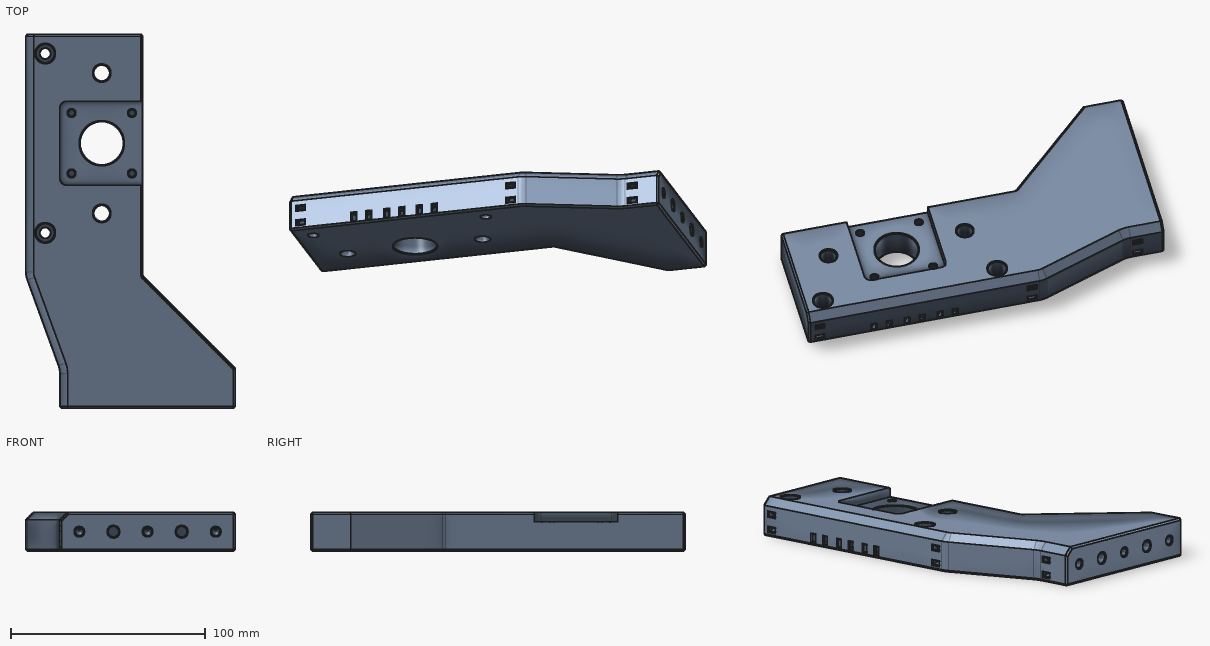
import cadquery as cq
import math

LENGTH = 192.0
THICKNESS = 20.0
ARM_WIDTH = 60.0
FOOT_LEFT = 17.5
FOOT_RIGHT = 107.5
BEND_Y = 68.0
LEFT_FOOT_Y = 20.0
RIGHT_FOOT_Y = BEND_Y - (FOOT_RIGHT - ARM_WIDTH)
LEFT_BEND_RADIUS = 12.0
RIGHT_BEND_RADIUS = 2.0
LEFT_TOP_CHAMFER = 4.0
EDGE_CHAMFER = 1.0

MOTOR_X = 39.0
MOTOR_Y = 136.0
MOTOR_POCKET_SIZE = 43.0
MOTOR_POCKET_DEPTH = 5.0
MOTOR_POCKET_RADIUS = 3.5
MOTOR_BORE_DIAMETER = 22.2
MOTOR_BORE_CHAMFER = 0.5
MOTOR_SCREW_SPACING = 31.0
MOTOR_SCREW_DIAMETER = 3.4
MOTOR_SCREW_DEPTH = 10.0
MOTOR_SCREW_CHAMFER = 0.5

SIDE_HOLE_DIAMETER = 8.2
SIDE_HOLE_OFFSET = 36.0
SIDE_HOLE_CHAMFER = 0.6

MOUNT_X = 10.0
MOUNT_YS = (90.0, 182.0)
MOUNT_DIAMETER = 5.5
MOUNT_HEAD_DIAMETER = 9.5
MOUNT_HEAD_DEPTH = 10.0
MOUNT_CHAMFER = 0.5

FOOT_HOLE_PITCH = 17.5
FOOT_HOLE_CENTRE_X = (FOOT_LEFT + FOOT_RIGHT) / 2
FOOT_HOLE_Z = THICKNESS / 2
FOOT_THREAD_DIAMETER = 4.2
FOOT_THREAD_DEPTH = 15.0
FOOT_THREAD_CHAMFER = 0.6
FOOT_PLAIN_DIAMETER = 5.5
FOOT_PLAIN_DEPTH = 15.0
FOOT_PLAIN_CHAMFER = 0.5
DRILL_POINT_ANGLE = 118.0

TIE_MEAN_RADIUS = 4.0
TIE_SLOT_HEIGHT = 2.0
TIE_SLOT_WIDTH = 4.0
TIE_MOUTH_CHAMFER = 0.6
TIE_UPRIGHT_Z = 7.75
TIE_FLAT_Z = TIE_UPRIGHT_Z - TIE_MEAN_RADIUS
TIE_FLAT_PITCH = 17.5
UPRIGHT_TIES = ((0, 186.0), (0, 74.0), (FOOT_LEFT, 14.0))

OVERSHOOT = 1.0
SELECT_MARGIN = 1.0


def edge_at(x, y):
    """Selector for the vertical edge at (x, y)."""
    return cq.selectors.BoxSelector(
        (x - SELECT_MARGIN, y - SELECT_MARGIN, 0),
        (x + SELECT_MARGIN, y + SELECT_MARGIN, THICKNESS),
    )


def top_edges_between(x_min, x_max):
    """Selector for top edges within an X range, without the two end edges."""
    return cq.selectors.BoxSelector(
        (x_min - SELECT_MARGIN, SELECT_MARGIN, THICKNESS - SELECT_MARGIN),
        (x_max + SELECT_MARGIN, LENGTH - SELECT_MARGIN, THICKNESS + SELECT_MARGIN),
    )


def plate():
    left_bend = (0, BEND_Y)
    left_foot = (FOOT_LEFT, LEFT_FOOT_Y)
    right_bend = (ARM_WIDTH, BEND_Y)
    outline = [
        (FOOT_LEFT, 0), (FOOT_RIGHT, 0), (FOOT_RIGHT, RIGHT_FOOT_Y), right_bend,
        (ARM_WIDTH, LENGTH), (0, LENGTH), left_bend, left_foot,
    ]
    body = cq.Workplane("XY").polyline(outline).close().extrude(THICKNESS)
    body = body.edges(edge_at(*left_bend)).fillet(LEFT_BEND_RADIUS)
    body = body.edges(edge_at(*left_foot)).fillet(LEFT_BEND_RADIUS)
    body = body.edges(edge_at(*right_bend)).fillet(RIGHT_BEND_RADIUS)
    body = body.edges(top_edges_between(0, FOOT_LEFT)).chamfer(LEFT_TOP_CHAMFER)
    right_top = body.edges(top_edges_between(ARM_WIDTH, FOOT_RIGHT))
    chamfered = body.faces("<Y or >Y or <Z").edges().add(right_top)
    return chamfered.chamfer(EDGE_CHAMFER)


def hole_cutter(diameter, depth, chamfer=0.0, pointed=False):
    """Hole going down from z = 0, with an optional mouth chamfer and drill point."""
    radius = diameter / 2
    profile = cq.Workplane("XZ").moveTo(0, OVERSHOOT)
    profile = profile.lineTo(radius + chamfer, OVERSHOOT).lineTo(radius + chamfer, 0)
    if chamfer:
        profile = profile.lineTo(radius, -chamfer)
    profile = profile.lineTo(radius, -depth)
    tip = radius / math.tan(math.radians(DRILL_POINT_ANGLE / 2)) if pointed else 0
    profile = profile.lineTo(0, -depth - tip).close()
    return profile.revolve(360, (0, 0, 0), (0, 1, 0))


def cut_motor_seat(body):
    floor_z = THICKNESS - MOTOR_POCKET_DEPTH
    half_size = MOTOR_POCKET_SIZE / 2
    open_length = ARM_WIDTH + OVERSHOOT - (MOTOR_X - half_size)
    pocket = (
        cq.Workplane("XY", origin=(MOTOR_X - half_size, MOTOR_Y, floor_z))
        .box(open_length, MOTOR_POCKET_SIZE, MOTOR_POCKET_DEPTH + OVERSHOOT, centered=(False, True, False))
        .edges("|Z and <X").fillet(MOTOR_POCKET_RADIUS)
    )
    bore = hole_cutter(MOTOR_BORE_DIAMETER, THICKNESS / 2, MOTOR_BORE_CHAMFER)
    body = body.cut(pocket).cut(bore.translate((MOTOR_X, MOTOR_Y, floor_z)))
    underside_bore = bore.rotate((0, 0, 0), (1, 0, 0), 180)
    body = body.cut(underside_bore.translate((MOTOR_X, MOTOR_Y, 0)))
    screw = hole_cutter(MOTOR_SCREW_DIAMETER, MOTOR_SCREW_DEPTH, MOTOR_SCREW_CHAMFER)
    half_spacing = MOTOR_SCREW_SPACING / 2
    for dx in (-half_spacing, half_spacing):
        for dy in (-half_spacing, half_spacing):
            body = body.cut(screw.translate((MOTOR_X + dx, MOTOR_Y + dy, floor_z)))
    return body


def cut_side_holes(body):
    hole = hole_cutter(SIDE_HOLE_DIAMETER, THICKNESS + OVERSHOOT, SIDE_HOLE_CHAMFER)
    for dy in (-SIDE_HOLE_OFFSET, SIDE_HOLE_OFFSET):
        body = body.cut(hole.translate((MOTOR_X, MOTOR_Y + dy, THICKNESS)))
    return body


def cut_mounting_holes(body):
    through = hole_cutter(MOUNT_DIAMETER, THICKNESS + OVERSHOOT)
    head = hole_cutter(MOUNT_HEAD_DIAMETER, MOUNT_HEAD_DEPTH, MOUNT_CHAMFER)
    cutter = through.union(head)
    for y in MOUNT_YS:
        body = body.cut(cutter.translate((MOUNT_X, y, THICKNESS)))
    return body


def cut_foot_holes(body):
    thread = hole_cutter(FOOT_THREAD_DIAMETER, FOOT_THREAD_DEPTH, FOOT_THREAD_CHAMFER, pointed=True)
    plain = hole_cutter(FOOT_PLAIN_DIAMETER, FOOT_PLAIN_DEPTH, FOOT_PLAIN_CHAMFER)
    for step in range(-2, 3):
        cutter = thread if step % 2 == 0 else plain
        into_foot = cutter.rotate((0, 0, 0), (1, 0, 0), 90)
        x = FOOT_HOLE_CENTRE_X + step * FOOT_HOLE_PITCH
        body = body.cut(into_foot.translate((x, 0, FOOT_HOLE_Z)))
    return body


def tie_loop_cutter():
    """Flat ring round the Z axis, with a chamfered mouth where it meets the plane x = 0."""
    ring = (
        cq.Workplane("XY", origin=(0, 0, -TIE_SLOT_WIDTH / 2))
        .circle(TIE_MEAN_RADIUS + TIE_SLOT_HEIGHT / 2)
        .circle(TIE_MEAN_RADIUS - TIE_SLOT_HEIGHT / 2)
        .extrude(TIE_SLOT_WIDTH)
    )
    mouth_height = TIE_SLOT_HEIGHT + 2 * TIE_MOUTH_CHAMFER
    mouth_width = TIE_SLOT_WIDTH + 2 * TIE_MOUTH_CHAMFER
    mouth = (
        cq.Workplane("YZ").rect(mouth_height, mouth_width)
        .workplane(offset=TIE_MOUTH_CHAMFER).rect(TIE_SLOT_HEIGHT, TIE_SLOT_WIDTH)
        .loft(ruled=True)
    )
    for y in (-TIE_MEAN_RADIUS, TIE_MEAN_RADIUS):
        ring = ring.union(mouth.translate((0, y, 0)))
    return ring


def cut_cable_ties(body):
    flat = tie_loop_cutter()
    upright = flat.rotate((0, 0, 0), (1, 0, 0), 90)
    for x, y in UPRIGHT_TIES:
        body = body.cut(upright.translate((x, y, TIE_UPRIGHT_Z)))
    for step in (-1, 0, 1):
        body = body.cut(flat.translate((0, MOTOR_Y + step * TIE_FLAT_PITCH, TIE_FLAT_Z)))
    return body


result = plate()
result = cut_motor_seat(result)
result = cut_side_holes(result)
result = cut_mounting_holes(result)
result = cut_foot_holes(result)
result = cut_cable_ties(result)